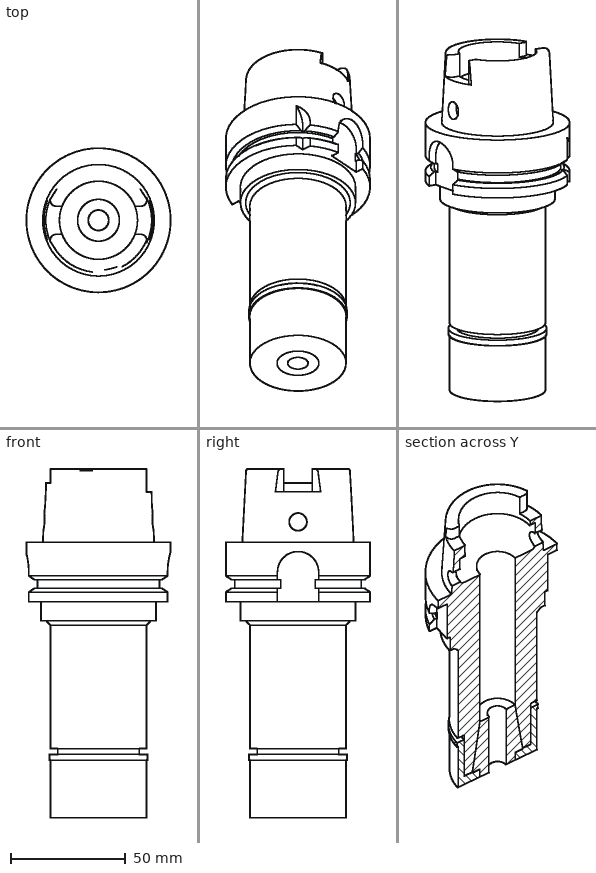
import cadquery as cq
import math


total_height = 152.0
taper_length = 31.9
flange_face_z = total_height - taper_length
flange_thickness = 26.0
flange_bottom_z = flange_face_z - flange_thickness
collar_height = 8.4
collar_bottom_z = flange_bottom_z - collar_height
neck_top_z = 30.1
nut_height = 27.7

flange_radius = 31.5
collar_radius = 25.1
shaft_radius = 21.0
shaft_chamfer = 1.8
nose_radius = 17.8
taper_base_radius = 24.3
taper_top_radius = 22.6
rim_round = 0.9

groove_centre_z = flange_face_z - 18.2
groove_width = 7.0
groove_floor_width = 3.6
groove_floor_radius = 27.7
groove_cone_radius = 29.0

mouth_radius = 17.0
mouth_depth = 12.9
chamber_radius = 19.8
chamber_depth = 28.3
chamber_round = 2.3
tube_bore_radius = 9.1
cross_hole_radius = 3.8
cross_hole_z = flange_face_z + 8.8

rim_slot_width = 12.3
rim_slot_depth_left = 6.1
rim_slot_depth_right = 10.0
rim_slot_corner = 2.5
rim_flat_x = 21.0
keyway_spring_z = flange_face_z - 13.0
keyway_floor_x = 26.6
keyway_width_left = 16.1
keyway_width_right = 18.0
notch_floor_x = 20.0
notch_wall_y = 19.9
notch_width = 20.0

collet_top_z = 34.0
collet_half_angle = 8.0
collet_bore_radius = 4.4
nut_cap_thickness = 5.0
nut_radius = shaft_radius
nut_flange_radius = 21.5
nut_flange_height = 2.6
collet_base_radius = tube_bore_radius + (collet_top_z - nut_cap_thickness) * math.tan(
    math.radians(collet_half_angle)
)


def cylinder(radius, bottom_z, top_z):
    return cq.Workplane("XY").workplane(offset=bottom_z).circle(radius).extrude(top_z - bottom_z)


def revolve_profile(points):
    """Revolve a closed (radius, Z) outline about the Z axis, starting from the -Y side."""
    start_points = [(-radius, z) for radius, z in points]
    return cq.Workplane("YZ").polyline(start_points).close().revolve(360, (0, 0, 0), (0, 1, 0))


def collet_envelope():
    """Tapered collet with a straight front end, without its bore."""
    return revolve_profile([
        (0, 0),
        (tube_bore_radius, 0),
        (tube_bore_radius, nut_cap_thickness),
        (collet_base_radius, nut_cap_thickness),
        (tube_bore_radius, collet_top_z),
        (0, collet_top_z),
    ])


def rim_slot_cutter(side, depth):
    """Slot through the rim on one X side, flaring with rounded corners into a flat outer face."""
    bottom_z = total_height - depth
    half_width = rim_slot_width / 2
    head_half_width = taper_base_radius
    outer_x = side * taper_base_radius
    flat_x = side * rim_flat_x
    corners = cq.selectors.BoxSelector(
        (flat_x - rim_round, -half_width - rim_round, bottom_z),
        (flat_x + rim_round, half_width + rim_round, total_height),
    )
    return (
        cq.Workplane("XY", origin=(0, 0, bottom_z))
        .polyline([
            (0, -half_width),
            (flat_x, -half_width),
            (flat_x, -head_half_width),
            (outer_x, -head_half_width),
            (outer_x, head_half_width),
            (flat_x, head_half_width),
            (flat_x, half_width),
            (0, half_width),
        ])
        .close()
        .extrude(depth)
        .edges("|Z")
        .edges(corners)
        .fillet(rim_slot_corner)
    )


def taper_shank():
    """Hollow-taper cone with a rounded rim and a drive slot in each X side of that rim."""
    cone = revolve_profile([
        (0, flange_face_z),
        (taper_base_radius, flange_face_z),
        (taper_top_radius, total_height),
        (0, total_height),
    ])
    cone = cone.faces(">Z").edges().fillet(rim_round)
    cone = cone.cut(cylinder(mouth_radius, total_height - mouth_depth, total_height))
    cone = cone.cut(rim_slot_cutter(-1, rim_slot_depth_left))
    return cone.cut(rim_slot_cutter(1, rim_slot_depth_right))


def holder_body():
    half_groove = groove_width / 2
    half_floor = groove_floor_width / 2
    return revolve_profile([
        (0, nut_cap_thickness),
        (nose_radius, nut_cap_thickness),
        (nose_radius, neck_top_z),
        (shaft_radius, neck_top_z),
        (shaft_radius, collar_bottom_z - shaft_chamfer),
        (shaft_radius + shaft_chamfer, collar_bottom_z),
        (collar_radius, collar_bottom_z),
        (collar_radius, flange_bottom_z),
        (flange_radius, flange_bottom_z),
        (flange_radius, groove_centre_z - half_groove),
        (groove_cone_radius, groove_centre_z - half_floor),
        (groove_floor_radius, groove_centre_z - half_floor),
        (groove_floor_radius, groove_centre_z + half_floor),
        (groove_cone_radius, groove_centre_z + half_floor),
        (flange_radius, groove_centre_z + half_groove),
        (flange_radius, flange_face_z),
        (0, flange_face_z),
    ])


def keyway_cutter(side, floor_x, centre_y, width):
    """Round-topped slot, open at the flange's lower face, cut inward along X to floor_x."""
    half = width / 2
    top_z = keyway_spring_z + half
    return (
        cq.Workplane("YZ", origin=(side * floor_x, 0, 0))
        .moveTo(centre_y - half, flange_bottom_z)
        .lineTo(centre_y - half, keyway_spring_z)
        .threePointArc((centre_y, top_z), (centre_y + half, keyway_spring_z))
        .lineTo(centre_y + half, flange_bottom_z)
        .close()
        .extrude(side * (flange_radius - floor_x))
    )


def make_holder():
    holder = holder_body().union(taper_shank())

    chamber_floor_z = total_height - chamber_depth
    chamber = cylinder(chamber_radius, chamber_floor_z, total_height - mouth_depth)
    holder = holder.cut(chamber.faces("<Z").edges().fillet(chamber_round))
    holder = holder.cut(cylinder(tube_bore_radius, collet_top_z, chamber_floor_z))
    holder = holder.cut(collet_envelope())

    cross_hole = (
        cq.Workplane("YZ")
        .center(0, cross_hole_z)
        .circle(cross_hole_radius)
        .extrude(taper_base_radius, both=True)
    )
    holder = holder.cut(cross_hole)

    holder = holder.cut(keyway_cutter(-1, keyway_floor_x, 0, keyway_width_left))
    holder = holder.cut(keyway_cutter(1, keyway_floor_x, 0, keyway_width_right))
    notch_centre_y = notch_wall_y + notch_width / 2
    return holder.cut(keyway_cutter(-1, notch_floor_x, notch_centre_y, notch_width))


def make_nut():
    """Flanged sleeve around the holder's nose, capped at the bottom around the collet's front end."""
    flange_z = nut_height - nut_flange_height
    return revolve_profile([
        (tube_bore_radius, 0),
        (nut_radius, 0),
        (nut_radius, flange_z),
        (nut_flange_radius, flange_z),
        (nut_flange_radius, nut_height),
        (nose_radius, nut_height),
        (nose_radius, nut_cap_thickness),
        (tube_bore_radius, nut_cap_thickness),
    ])


def make_collet():
    return collet_envelope().cut(cylinder(collet_bore_radius, 0, collet_top_z))


holder = make_holder()
nut = make_nut()
collet = make_collet()

result = cq.Compound.makeCompound([holder.val(), nut.val(), collet.val()])